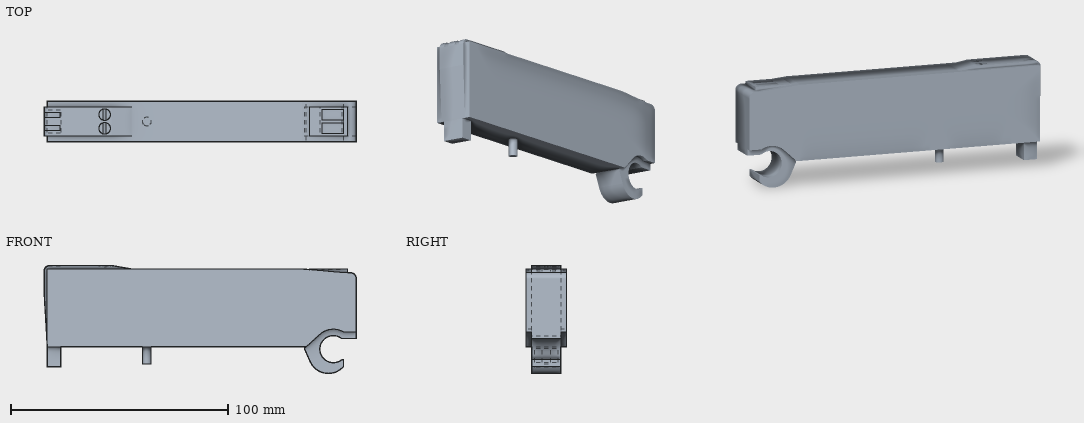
import cadquery as cq
import math


length = 143.8
width = 18.8
height = 36.0
front_x = 1.5
core_z = height / 2
slope_start_x = 118.8
end_block_x = 137.9
end_block_top = 34.2
end_block_radius = 2.9

inner_width = 13.5

cap_top = 37.5
cap_corner_radius = 2.6
cap_bend_z = 24.9
cap_flat_end_x = 31.2
cap_end_x = 40.3

groove_y = 3.0
groove_width = 2.3
groove_end_x = 7.3
groove_depth = 0.3

screw_x = 27.9
screw_y = 3.2
screw_diameter = 5.3
screw_recess = 0.3
screw_slot_width = 1.5
screw_slot_depth = 0.7

terminal_start_x = 122.2
terminal_end_x = 139.8
window_start_x = 127.8
window_width = 4.7
window_gap = 1.5
window_y = (window_width + window_gap) / 2
window_depth = 0.3

rail_x = 133.2
rail_z = -1.0
rail_radius = 6.2
hook_radius = 9.2
hook_lower_x = 130.9
hook_lower_z = -3.0
hook_corner = (119.8, -0.7)
mouth_height = 9.6

foot_length = 6.3
foot_width = 10.8
foot_drop = 9.2
pin_x = 47.3
pin_diameter = 4.0
pin_drop = 7.9

hook_arm_top = rail_z + math.sqrt(hook_radius**2 - (end_block_x - rail_x) ** 2)
hook_tip_z = hook_lower_z - math.sqrt(hook_radius**2 - (end_block_x - hook_lower_x) ** 2)


def prism(outline, prism_width):
    """Extrude a closed XZ outline evenly about the middle plane."""
    return outline.close().extrude(prism_width / 2, both=True)


def box(x_range, y_size, z_range, y_center=0.0):
    """Box between two X and two Z limits, centred at y_center."""
    x_low, x_high = x_range
    z_low, z_high = z_range
    corner = (x_low, y_center - y_size / 2, z_low)
    return cq.Workplane("XY").box(x_high - x_low, y_size, z_high - z_low, centered=False).translate(corner)


def cylinder(x, y, diameter, z_range):
    """Upright cylinder between two Z limits."""
    z_low, z_high = z_range
    return cq.Workplane("XY", origin=(x, y, z_low)).circle(diameter / 2).extrude(z_high - z_low)


def tangent_point(point, center, radius, side):
    """Touching point of a tangent from point to a circle; side +1 or -1 picks which tangent."""
    dx = point[0] - center[0]
    dz = point[1] - center[1]
    angle = math.atan2(dz, dx) + side * math.acos(radius / math.hypot(dx, dz))
    return (center[0] + radius * math.cos(angle), center[1] + radius * math.sin(angle))


rail_center = (rail_x, rail_z)
hook_lower_center = (hook_lower_x, hook_lower_z)
upper_tangent = tangent_point(hook_corner, rail_center, hook_radius, -1)
lower_tangent = tangent_point(hook_corner, hook_lower_center, hook_radius, 1)
hook_crest = (rail_x, rail_z + hook_radius)
hook_bottom = (hook_lower_x, hook_lower_z - hook_radius)


def hook_outline():
    """Side outline of the hook with its arm, before the rail opening is cut."""
    return (
        cq.Workplane("XZ")
        .moveTo(*hook_corner)
        .lineTo(*upper_tangent)
        .threePointArc(hook_crest, (end_block_x, hook_arm_top))
        .lineTo(length, hook_arm_top)
        .lineTo(length, rail_z)
        .lineTo(end_block_x, rail_z)
        .lineTo(end_block_x, hook_tip_z)
        .threePointArc(hook_bottom, lower_tangent)
    )


def make_rail_opening():
    bore = cq.Workplane("XZ").center(*rail_center).circle(rail_radius).extrude(width, both=True)
    mouth_z = (rail_z - mouth_height / 2, rail_z + mouth_height / 2)
    return bore.union(box((rail_x, length), width, mouth_z))


def make_housing():
    """Full-width body, relieved above and behind the hook."""
    body = prism(
        cq.Workplane("XZ")
        .moveTo(front_x, 0)
        .lineTo(front_x, height)
        .lineTo(slope_start_x, height)
        .lineTo(end_block_x, end_block_top)
        .lineTo(length - end_block_radius, end_block_top)
        .radiusArc((length, end_block_top - end_block_radius), end_block_radius)
        .lineTo(length, 0),
        width,
    )
    relief = prism(hook_outline(), width)
    return body.cut(relief).cut(box((end_block_x, length), width, (0, hook_arm_top)))


def cap_outline(inset):
    """Cap side outline, with the top and front moved inwards by inset."""
    radius = cap_corner_radius - inset
    top = cap_top - inset
    return (
        cq.Workplane("XZ")
        .moveTo(front_x + inset, 0)
        .lineTo(inset, cap_bend_z)
        .lineTo(inset, top - radius)
        .radiusArc((inset + radius, top), radius)
        .lineTo(cap_flat_end_x, top)
        .lineTo(cap_end_x, height - inset)
        .lineTo(cap_end_x, 0)
    )


def make_cap():
    cap = prism(cap_outline(0), inner_width)
    skin = cap.cut(prism(cap_outline(groove_depth), inner_width))
    groove_z = (cap_top - cap_corner_radius, cap_top)
    for side in (-1, 1):
        groove = box((0, groove_end_x), groove_width, groove_z, side * groove_y)
        cap = cap.cut(groove.intersect(skin))
    return cap


def make_screw_cut(y):
    """Sunken screw head with a driver slot along Y."""
    slot_floor = cap_top - screw_slot_depth
    head = cylinder(screw_x, y, screw_diameter, (slot_floor, cap_top))
    recess_z = (cap_top - screw_recess, cap_top)
    slot_x = (screw_x - screw_slot_width / 2, screw_x + screw_slot_width / 2)
    recess = box((screw_x - screw_diameter, screw_x + screw_diameter), screw_diameter, recess_z, y)
    slot = box(slot_x, screw_diameter, (slot_floor, cap_top), y)
    return head.intersect(recess.union(slot))


def make_window_cut(y):
    """Shallow rectangular window in the terminal."""
    return box((window_start_x, end_block_x), window_width, (height - window_depth, height), y)


terminal = box((terminal_start_x, terminal_end_x), inner_width, (core_z, height))
foot = box((front_x, front_x + foot_length), foot_width, (-foot_drop, core_z))
pin = cylinder(pin_x, 0, pin_diameter, (-pin_drop, core_z))
hook = prism(hook_outline(), inner_width)

result = make_housing()
for attached in (make_cap(), terminal, foot, pin, hook):
    result = result.union(attached)

result = result.cut(make_rail_opening())
for side in (-1, 1):
    result = result.cut(make_screw_cut(side * screw_y))
    result = result.cut(make_window_cut(side * window_y))